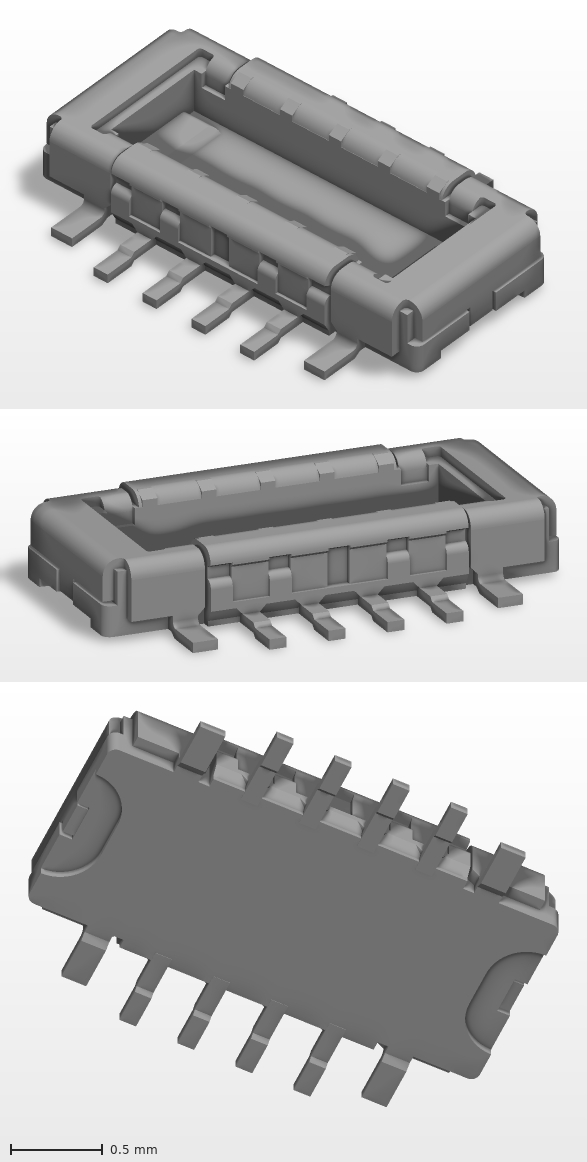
import cadquery as cq
SHEET = 0.06
HOUSING_BOTTOM = 0.027
CAVITY_FLOOR = 0.117
BASE_TOP = 0.205
HOUSING_TOP = 0.4
SHELL_TOP = 0.458
OVERALL_HEIGHT = 0.48
OVERLAP = 0.027

BASE_LENGTH = 2.71
BASE_CORNER = 0.051
BODY_LENGTH = 2.558
BODY_WIDTH = 1.087
CAVITY_LENGTH = 2.015
CAVITY_WIDTH = 0.695

TONGUE_SLOT_WIDTH = 0.222
NOTCH_WIDTH = 0.7
NOTCH_TOP = 0.079
NOTCH_DEPTH = 0.247
NOTCH_RADIUS = 0.245

PAD_WIDTH = 0.58
PAD_HEIGHT = 0.05
PAD_LENGTH = 0.245
PAD_SLOPE = 0.057

WALL_LENGTH = 1.528
CONTACT_COUNT = 4
CONTACT_PITCH = 0.35
WALL_FACE = 0.585
BUMP_FACE = 0.635
LIP_FACE = 0.631
LIP_BOTTOM = 0.39
LIP_RADIUS = OVERALL_HEIGHT - LIP_BOTTOM
LIP_ROOT = 0.369
BUMP_TOP = 0.3
BUMP_RADIUS = BUMP_FACE - WALL_FACE
UNDERCUT_TOP = 0.125
UNDERCUT_BOTTOM = 0.06
UNDERCUT_FACE = 0.595
RIB_EDGE = 0.417
RIB_BOTTOM = 0.442

CURL_LENGTH = 0.263
CURL_RADIUS = 0.098
FLANGE_WIDTH = 0.02
WINDOW_WIDTH = 0.22
WINDOW_FACE = 0.615
WINDOW_BOTTOM = 0.163
WINDOW_TOP = 0.36
CROWN_BOTTOM = 0.377
TOOTH_WIDTH = 0.18
TOOTH_BOTTOM = 0.085

LEAD_WIDTH = 0.1
LEAD_END = 1.0
LEAD_RISE = 0.025
STEP_OUTER = 0.802
STEP_INNER = 0.778

SHELL_INNER_X = 0.789
SHELL_OUTER_X = 1.345
FLAP_FACE = 0.61
FLAP_OUTER_X = 1.225
FLAP_BOTTOM = 0.125
SHELL_RADIUS = 0.092
END_WALL_WIDTH = 0.986
END_WALL_BOTTOM = 0.22
TONGUE_WIDTH = 0.185
TONGUE_BOTTOM = 0.09
PLATE_CORNER_Y = 0.518
PLATE_CORNER_RADIUS = PLATE_CORNER_Y - END_WALL_WIDTH / 2
PLATE_CORNER_X = FLAP_OUTER_X + PLATE_CORNER_RADIUS
OPENING_X = 1.065
OPENING_Y = 0.46
OPENING_CORNER = 0.022
HOOK_LENGTH = 0.165
HOOK_RADIUS = 0.08
HOOK_FACE = OPENING_Y - HOOK_RADIUS
HOOK_LEDGE = 0.304
TAB_INNER_X = 0.83
TAB_WIDTH = 0.15
TAB_END = 0.883
TAB_BEND = 0.033
TAB_HEEL_TOP = 0.588
TAB_HEEL_BOTTOM = 0.631
FLAP_CHAMFER = TAB_INNER_X - SHELL_INNER_X
FLAP_TOE = 0.105


def block(x0, x1, y0, y1, z0, z1):
    """Axis-aligned block between two corners."""
    return cq.Workplane("XY").box(x1 - x0, y1 - y0, z1 - z0, centered=False).translate((x0, y0, z0))


def centred_block(length, width, z0, z1):
    """Block centred on the Z axis."""
    return block(-length / 2, length / 2, -width / 2, width / 2, z0, z1)


def along_x(profile, x0, x1):
    """Extrude a closed YZ outline from x0 to x1."""
    return profile.extrude(x1 - x0).translate((x0, 0, 0))


def both_sides(solid):
    """The solid together with its mirror image across the XZ plane."""
    return solid.union(solid.mirror("XZ"))


def both_ends(solid):
    """The solid together with its mirror image across the YZ plane."""
    return solid.union(solid.mirror("YZ"))


def contact_positions():
    """X positions of the contacts, centred on the part."""
    first = -(CONTACT_COUNT - 1) / 2 * CONTACT_PITCH
    return [first + i * CONTACT_PITCH for i in range(CONTACT_COUNT)]


def make_housing():
    """Plastic tray with a wide base, an open cavity and notched ends."""
    base = centred_block(BASE_LENGTH, BODY_WIDTH, HOUSING_BOTTOM, BASE_TOP).edges("|Z").fillet(BASE_CORNER)
    body = centred_block(BODY_LENGTH, BODY_WIDTH, HOUSING_BOTTOM, HOUSING_TOP)
    slot = block(BODY_LENGTH / 2, BASE_LENGTH, -TONGUE_SLOT_WIDTH / 2, TONGUE_SLOT_WIDTH / 2,
                 HOUSING_BOTTOM, BASE_TOP)
    notch_start = BASE_LENGTH / 2 - NOTCH_DEPTH
    notch = block(notch_start, BASE_LENGTH, -NOTCH_WIDTH / 2, NOTCH_WIDTH / 2, HOUSING_BOTTOM, NOTCH_TOP)
    notch = notch.edges("|Z and <X").fillet(NOTCH_RADIUS)
    return base.union(body).cut(both_ends(slot.union(notch)))


def make_cavity():
    """Space for the mating part, open at the top."""
    return centred_block(CAVITY_LENGTH, CAVITY_WIDTH, CAVITY_FLOOR, OVERALL_HEIGHT)


def make_pad():
    """Raised pad with rounded sides and a sloped inner end."""
    x_end = CAVITY_LENGTH / 2
    x_start = x_end - PAD_LENGTH
    top = CAVITY_FLOOR + PAD_HEIGHT
    pad = block(x_start, x_end, -PAD_WIDTH / 2, PAD_WIDTH / 2, CAVITY_FLOOR - OVERLAP, top)
    pad = pad.edges("|X and >Z").fillet(PAD_HEIGHT)
    slope = (
        cq.Workplane("XZ")
        .polyline([(x_start, CAVITY_FLOOR), (x_start + PAD_SLOPE, top), (x_start, top)])
        .close()
        .extrude(PAD_WIDTH / 2, both=True)
    )
    return pad.cut(slope)


def make_curl_cutter(x0, x1):
    """Material removed from the wall to round its inner top edge."""
    inner = CAVITY_WIDTH / 2
    profile = (
        cq.Workplane("YZ")
        .moveTo(inner, OVERALL_HEIGHT - CURL_RADIUS)
        .radiusArc((inner + CURL_RADIUS, OVERALL_HEIGHT), CURL_RADIUS)
        .lineTo(inner, OVERALL_HEIGHT)
        .close()
    )
    return along_x(profile, x0, x1)


def make_contact_plate(x):
    """Flat contact between the lip and the bump."""
    profile = (
        cq.Workplane("YZ")
        .polyline([
            (WALL_FACE - OVERLAP, WINDOW_BOTTOM), (WINDOW_FACE, WINDOW_BOTTOM), (WINDOW_FACE, WINDOW_TOP),
            (LIP_FACE, CROWN_BOTTOM), (LIP_FACE, LIP_BOTTOM), (WALL_FACE - OVERLAP, LIP_BOTTOM),
        ])
        .close()
    )
    return along_x(profile, x - WINDOW_WIDTH / 2, x + WINDOW_WIDTH / 2)


def make_contact_wall():
    """Side wall at +Y with lip, bump, windows, teeth and inner curls."""
    half = WALL_LENGTH / 2
    profile = (
        cq.Workplane("YZ")
        .moveTo(CAVITY_WIDTH / 2, HOUSING_BOTTOM)
        .lineTo(CAVITY_WIDTH / 2, RIB_BOTTOM)
        .lineTo(RIB_EDGE, OVERALL_HEIGHT)
        .lineTo(LIP_FACE - LIP_RADIUS, OVERALL_HEIGHT)
        .radiusArc((LIP_FACE, LIP_BOTTOM), LIP_RADIUS)
        .lineTo(WALL_FACE, LIP_ROOT)
        .lineTo(WALL_FACE, BUMP_TOP)
        .radiusArc((BUMP_FACE, BUMP_TOP - BUMP_RADIUS), BUMP_RADIUS)
        .lineTo(BUMP_FACE, UNDERCUT_TOP)
        .lineTo(UNDERCUT_FACE, UNDERCUT_BOTTOM)
        .lineTo(UNDERCUT_FACE, HOUSING_BOTTOM)
        .close()
    )
    wall = along_x(profile, -half, half)
    gap_half = (CONTACT_PITCH - WINDOW_WIDTH) / 2
    wall = wall.cut(block(-gap_half, gap_half, WALL_FACE, BUMP_FACE, WINDOW_BOTTOM, LIP_ROOT))
    for x in contact_positions():
        wall = wall.cut(block(x - WINDOW_WIDTH / 2, x + WINDOW_WIDTH / 2, WINDOW_FACE, BUMP_FACE,
                              WINDOW_BOTTOM, WINDOW_TOP))
        wall = wall.union(make_contact_plate(x)).union(make_tooth(x))
        wall = wall.cut(make_curl_cutter(x - CURL_LENGTH / 2, x + CURL_LENGTH / 2))
    for x in (-half, half - FLANGE_WIDTH):
        wall = wall.cut(make_curl_cutter(x, x + FLANGE_WIDTH))
    return wall


def make_tooth(x):
    """Tapered foot of the bump that reaches down to a lead."""
    top_half = TOOTH_WIDTH / 2
    bottom_half = LEAD_WIDTH / 2
    return (
        cq.Workplane("XZ", origin=(x, BUMP_FACE, 0))
        .polyline([(-top_half, UNDERCUT_TOP), (-bottom_half, TOOTH_BOTTOM),
                   (bottom_half, TOOTH_BOTTOM), (top_half, UNDERCUT_TOP)])
        .close()
        .extrude(BUMP_FACE - UNDERCUT_FACE + OVERLAP)
    )


def make_leads():
    """Row of joggled signal leads at +Y."""
    root = BODY_WIDTH / 2
    outline = [
        (root, LEAD_RISE), (STEP_INNER, LEAD_RISE), (STEP_OUTER, 0), (LEAD_END, 0),
        (LEAD_END, SHEET), (STEP_OUTER, SHEET), (STEP_INNER, SHEET + LEAD_RISE), (root, SHEET + LEAD_RISE),
    ]
    leads = cq.Workplane()
    for x in contact_positions():
        lead = cq.Workplane("YZ").polyline(outline).close()
        leads = leads.union(along_x(lead, x - LEAD_WIDTH / 2, x + LEAD_WIDTH / 2))
    return leads


def make_shell():
    """Folded metal cover over the +X end."""
    seat_y = BODY_WIDTH / 2
    flaps = block(SHELL_INNER_X, FLAP_OUTER_X, -FLAP_FACE, FLAP_FACE, FLAP_BOTTOM, SHELL_TOP)
    flaps = flaps.edges("|X and >Z").fillet(SHELL_RADIUS)
    end_wall = block(SHELL_INNER_X, SHELL_OUTER_X, -END_WALL_WIDTH / 2, END_WALL_WIDTH / 2,
                     END_WALL_BOTTOM, SHELL_TOP)
    end_wall = end_wall.edges("|Y and >Z and >X").fillet(SHELL_RADIUS)
    corner = block(SHELL_INNER_X, PLATE_CORNER_X, -PLATE_CORNER_Y, PLATE_CORNER_Y, HOUSING_TOP, SHELL_TOP)
    relief = (
        cq.Workplane("XY", origin=(PLATE_CORNER_X, 0, HOUSING_TOP))
        .pushPoints([(0, -PLATE_CORNER_Y), (0, PLATE_CORNER_Y)])
        .circle(PLATE_CORNER_RADIUS)
        .extrude(SHELL_TOP - HOUSING_TOP)
    )
    corner = corner.cut(relief)
    tongue = block(BODY_LENGTH / 2, SHELL_OUTER_X, -TONGUE_WIDTH / 2, TONGUE_WIDTH / 2,
                   TONGUE_BOTTOM, END_WALL_BOTTOM)
    inside = block(0, BODY_LENGTH / 2, -seat_y, seat_y, HOUSING_BOTTOM, HOUSING_TOP)
    cover = flaps.union(end_wall).union(corner).union(tongue).cut(make_opening()).cut(inside)
    cover = cover.cut(both_sides(make_flap_chamfer()))
    side_details = make_tab().union(make_flap_toe()).union(make_hook())
    return cover.union(both_sides(side_details))


def make_opening():
    """Opening in the shell top, widened beyond the hooks with rounded corners."""
    hook_end = SHELL_INNER_X + HOOK_LENGTH
    neck = OPENING_Y - OPENING_CORNER
    pocket = block(hook_end, OPENING_X, -OPENING_Y, OPENING_Y, HOUSING_BOTTOM, SHELL_TOP)
    pocket = pocket.edges("|Z").fillet(OPENING_CORNER)
    between_hooks = block(0, hook_end, -OPENING_Y, OPENING_Y, HOUSING_BOTTOM, SHELL_TOP)
    join = block(0, hook_end + OPENING_CORNER, -neck, neck, HOUSING_BOTTOM, SHELL_TOP)
    return pocket.union(between_hooks).union(join)


def make_flap_toe():
    """Chamfered corner that joins the inner edge of the +Y flap to its tab."""
    top = FLAP_BOTTOM + OVERLAP
    toe = block(SHELL_INNER_X, TAB_INNER_X, BODY_WIDTH / 2, FLAP_FACE, FLAP_TOE, top)
    return toe.cut(make_flap_chamfer())


def make_flap_chamfer():
    """Wedge removed from the lower inner corner of the +Y flap."""
    chamfer_top = FLAP_TOE + FLAP_CHAMFER
    return (
        cq.Workplane("XZ", origin=(0, FLAP_FACE, 0))
        .polyline([(SHELL_INNER_X, FLAP_TOE), (TAB_INNER_X, FLAP_TOE), (SHELL_INNER_X, chamfer_top)])
        .close()
        .extrude(FLAP_FACE - BODY_WIDTH / 2)
    )


def make_tab():
    """Solder tab bent outward from the flap at +Y."""
    seat_y = BODY_WIDTH / 2
    profile = (
        cq.Workplane("YZ")
        .moveTo(seat_y, HOUSING_BOTTOM)
        .lineTo(TAB_HEEL_TOP, HOUSING_BOTTOM)
        .lineTo(TAB_HEEL_BOTTOM, 0)
        .lineTo(TAB_END, 0)
        .lineTo(TAB_END, SHEET)
        .lineTo(FLAP_FACE + TAB_BEND, SHEET)
        .radiusArc((FLAP_FACE, SHEET + TAB_BEND), TAB_BEND)
        .lineTo(FLAP_FACE, FLAP_BOTTOM + OVERLAP)
        .lineTo(seat_y, FLAP_BOTTOM + OVERLAP)
        .close()
    )
    return along_x(profile, TAB_INNER_X, TAB_INNER_X + TAB_WIDTH)


def make_hook():
    """Inner curl of the shell, hooked over the cavity wall at +Y."""
    profile = (
        cq.Workplane("YZ")
        .moveTo(OPENING_Y, HOOK_LEDGE)
        .lineTo(HOOK_FACE, HOOK_LEDGE)
        .lineTo(HOOK_FACE, SHELL_TOP - HOOK_RADIUS)
        .radiusArc((OPENING_Y, SHELL_TOP), HOOK_RADIUS)
        .close()
    )
    return along_x(profile, SHELL_INNER_X, SHELL_INNER_X + HOOK_LENGTH)


def make_hook_pocket():
    """Recess in the cavity wall that holds the hook at +Y."""
    return block(SHELL_INNER_X, SHELL_INNER_X + HOOK_LENGTH, 0, OPENING_Y, HOOK_LEDGE, HOUSING_TOP)


result = make_housing().cut(make_cavity())
result = result.union(both_sides(make_contact_wall().union(make_leads())))
result = result.cut(both_ends(both_sides(make_hook_pocket())))
result = result.union(both_ends(make_pad())).union(both_ends(make_shell()))
result = cq.Workplane(result.solids().val())